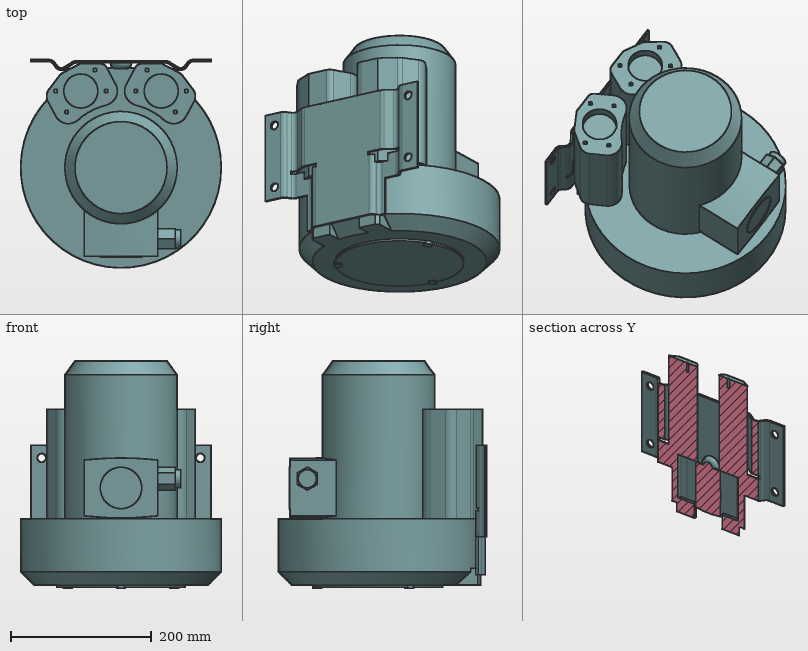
import cadquery as cq
import math


housing_radius = 142.85
housing_height = 94.0
housing_chamfer = 19.0
motor_radius = 80.0
motor_top = 319.0
motor_cap_height = 20.0
motor_cap_top_radius = 65.5

cover_radius = 91.5
cover_thickness = 3.2
cover_screw_circle_radius = 87.5
cover_screw_diameter = 12.5
cover_screw_drop = 4.9
cover_screw_angles = (30, 150, 270)

port_center_x = -57.2
port_center_y = 109.0
port_top = 250.4
port_bore_diameter = 48.5
port_bore_depth = 15.0
port_screw_diameter = 5.2
port_screw_depth = 15.0
port_screw_circle_radius = 36.0
port_screw_angles = (0, 56, 180, 236)
port_corner_center_radius = 32.0
port_corner_radius = 20.0
port_back_corner_radius = 10.0
port_outer_corner_radius = 15.0
port_shoulder_radius = 16.0
port_back_y = 148.0
port_motor_gap_radius = 91.3
port_side_flat_angle = 143.0
port_side_flat_distance = 148.9

box_width = 105.0
box_front_y = -126.3
box_center_z = 138.2
box_side_height = 79.4
box_middle_height = 85.4
box_lid_diameter = 59.0
box_lid_rise = 1.1
gland_y = -101.5
gland_z = 151.4
gland_hex_flats = 28.2
gland_hex_length = 24.5
gland_tip_diameter = 26.0
gland_tip_length = 8.0

sheet = 3.0
inner_bend_radius = 7.0
bracket_half_width = 128.4
bracket_bottom = 69.0
bracket_top = 199.0
bracket_plate_bottom = 14.4
slit_bottom = 105.4
slit_top = 109.7
slit_inner_x = 44.0
slit_outer_x = 91.0
wing_y = 152.4
plate_y = 150.4
valley_y = 140.1
wing_bend_x = 98.5
valley_bend_x = 89.0
upper_valley_depth = 2.7
upper_plate_bend_x = 66.5
lower_valley_bend_x = 56.0
lower_plate_bend_x = 50.0
flange_half_width = 65.6
wing_hole_diameter = 12.03
wing_hole_x = 113.0
wing_hole_inset = 18.0

buffer_z = 92.0
buffer_front_y = 140.8
buffer_radius = 15.0
buffer_front_rounding = 7.5

lug_height = 24.0
lug_outer_x = 57.0
lug_inner_x = 25.0
lug_side_y = 140.8
lug_back_y = 145.3


def cylinder_z(radius, bottom, top):
    return cq.Workplane("XY").workplane(offset=bottom).circle(radius).extrude(top - bottom)


def polar(radius, degrees):
    angle = math.radians(degrees)
    return radius * math.cos(angle), radius * math.sin(angle)


def make_housing():
    body = cylinder_z(housing_radius, 0, housing_height)
    return body.faces("<Z").chamfer(housing_chamfer)


def make_motor():
    cap_radius_drop = motor_radius - motor_cap_top_radius
    motor = cylinder_z(motor_radius, 0, motor_top)
    return motor.faces(">Z").chamfer(motor_cap_height, cap_radius_drop)


def make_bottom_cover():
    cover = cylinder_z(cover_radius, -cover_thickness, 0)
    for angle in cover_screw_angles:
        x, y = polar(cover_screw_circle_radius, angle)
        screw = cylinder_z(cover_screw_diameter / 2, -cover_screw_drop, 0).translate((x, y, 0))
        cover = cover.union(screw)
    return cover


def around_port(radius):
    """Four points at the port screw angles, at a given distance from the port axis."""
    offsets = [polar(radius, angle) for angle in port_screw_angles]
    return [(port_center_x + x, port_center_y + y) for x, y in offsets]


def fillet_upright_edge(body, point, radius):
    edge = body.edges("|Z").edges(cq.selectors.NearestToPointSelector(point))
    return edge.fillet(radius)


def half_space(start, angle):
    """Large block beyond a plane at a distance from the Z axis, facing the given angle."""
    size = 4 * housing_radius
    block = cq.Workplane("XY").box(size, size, 2 * motor_top, centered=(False, True, True))
    return block.translate((start, 0, 0)).rotate((0, 0, 0), (0, 0, 1), angle)


def make_left_port():
    corners = around_port(port_corner_center_radius)
    right_corner, back_corner, outer_corner, front_corner = corners
    outline = cq.Workplane("XY").workplane(offset=housing_height).polyline(corners).close()
    outline = outline.offset2D(port_corner_radius, "intersection")
    port = outline.extrude(port_top - housing_height)

    port = port.cut(half_space(port_back_y, 90))
    port = port.cut(half_space(port_side_flat_distance, port_side_flat_angle))
    middle_z = (housing_height + port_top) / 2
    rounded_edges = [
        (right_corner, port_corner_radius),
        (front_corner, port_corner_radius),
        ((back_corner[0] + port_corner_radius, port_back_y), port_back_corner_radius),
        ((outer_corner[0], back_corner[1]), port_shoulder_radius),
        ((outer_corner[0] - port_corner_radius, outer_corner[1]), port_outer_corner_radius),
    ]
    for (x, y), radius in rounded_edges:
        port = fillet_upright_edge(port, (x, y, middle_z), radius)

    return port.cut(cylinder_z(port_motor_gap_radius, 0, port_top))


def cut_port_holes(port):
    bore = cylinder_z(port_bore_diameter / 2, port_top - port_bore_depth, port_top)
    port = port.cut(bore.translate((port_center_x, port_center_y, 0)))
    for x, y in around_port(port_screw_circle_radius):
        screw_hole = cylinder_z(port_screw_diameter / 2, port_top - port_screw_depth, port_top)
        port = port.cut(screw_hole.translate((x, y, 0)))
    return port


def make_terminal_box():
    half_width = box_width / 2
    side = box_side_height / 2
    middle = box_middle_height / 2
    profile = (
        cq.Workplane("XZ")
        .moveTo(-half_width, -side)
        .threePointArc((0, -middle), (half_width, -side))
        .lineTo(half_width, side)
        .threePointArc((0, middle), (-half_width, side))
        .close()
    )
    box = profile.extrude(-box_front_y)
    lid = cq.Workplane("XZ").circle(box_lid_diameter / 2).extrude(-box_front_y + box_lid_rise)
    return box.union(lid).translate((0, 0, box_center_z))


def make_cable_gland():
    """Hexagonal gland with corners up and down, then a round tip, along +X."""
    across_corners = gland_hex_flats / math.cos(math.radians(30))
    hexagon = cq.Workplane("YZ").transformed(rotate=(0, 0, 90)).polygon(6, across_corners)
    gland = hexagon.extrude(gland_hex_length)
    gland = gland.faces(">X").workplane().circle(gland_tip_diameter / 2).extrude(gland_tip_length)
    return gland.translate((box_width / 2, gland_y, gland_z))


def bend_directions(points):
    """Direction of the path before and after each of its points."""
    slopes = [
        math.atan2(end[1] - start[1], end[0] - start[0])
        for start, end in zip(points, points[1:])
    ]
    return list(zip(slopes[:1] + slopes, slopes + slopes[-1:]))


def offset_path(points, distance):
    """Path moved to its left by a distance, kept parallel to every segment."""
    moved = []
    for (x, y), (before, after) in zip(points, bend_directions(points)):
        direction = (before + after) / 2
        reach = distance / math.cos((after - before) / 2)
        moved.append((x - reach * math.sin(direction), y + reach * math.cos(direction)))
    return moved


def bent_sheet(left_half, bottom, top):
    """Sheet along a mirrored centre line, with concentric radii on both sides of every bend."""
    path = left_half + [(-x, y) for x, y in reversed(left_half)]
    left_side = offset_path(path, sheet / 2)
    right_side = offset_path(path, -sheet / 2)
    outline = left_side + right_side[::-1]
    body = cq.Workplane("XY").workplane(offset=bottom).polyline(outline).close()
    body = body.extrude(top - bottom)

    middle = (bottom + top) / 2
    outer_bend_radius = inner_bend_radius + sheet
    bends = list(zip(left_side, right_side, bend_directions(path)))[1:-1]
    for left, right, (before, after) in bends:
        inner, outer = (left, right) if after > before else (right, left)
        body = fillet_upright_edge(body, (*inner, middle), inner_bend_radius)
        body = fillet_upright_edge(body, (*outer, middle), outer_bend_radius)
    return body


def make_bracket():
    wing = [(-bracket_half_width, wing_y), (-wing_bend_x, wing_y)]
    wing_run = (wing_bend_x - valley_bend_x) / (wing_y - valley_y)
    upper_valley = (-valley_bend_x + wing_run * upper_valley_depth, valley_y - upper_valley_depth)
    upper = wing + [upper_valley, (-upper_plate_bend_x, plate_y)]
    wing_to_flange = wing + [(-valley_bend_x, valley_y)]
    hat = [(-lower_valley_bend_x, valley_y), (-lower_plate_bend_x, plate_y)]
    flange = [(-flange_half_width, valley_y)]

    bracket = bent_sheet(upper, slit_bottom, bracket_top)
    slit = cq.Workplane("XY").box(
        slit_outer_x - slit_inner_x, 2 * wing_y, slit_top - slit_bottom, centered=(False, True, False)
    )
    for slit_start_x in (-slit_outer_x, slit_inner_x):
        bracket = bracket.cut(slit.translate((slit_start_x, wing_y, slit_bottom)))
    bracket = bracket.union(bent_sheet(wing_to_flange + hat, bracket_bottom, slit_bottom))
    bracket = bracket.union(bent_sheet(flange + hat, bracket_plate_bottom, bracket_bottom))

    for x in (-wing_hole_x, wing_hole_x):
        for z in (bracket_bottom + wing_hole_inset, bracket_top - wing_hole_inset):
            hole = cq.Workplane("XZ").circle(wing_hole_diameter / 2).extrude(-2 * wing_y)
            bracket = bracket.cut(hole.translate((x, 0, z)))
    return bracket


def make_buffer():
    length = plate_y - buffer_front_y
    buffer = cq.Workplane("XZ").circle(buffer_radius).extrude(-length)
    buffer = buffer.faces("<Y").edges().fillet(buffer_front_rounding)
    return buffer.translate((0, buffer_front_y, buffer_z))


def make_left_lug():
    """Lug under the bracket flange, from the back edge into the housing."""
    bevel = lug_back_y - lug_side_y
    outline = [
        (-lug_outer_x, 0),
        (-lug_outer_x, lug_side_y),
        (-lug_outer_x + bevel, lug_back_y),
        (-lug_inner_x, lug_back_y),
        (-lug_inner_x, 0),
    ]
    return cq.Workplane("XY").polyline(outline).close().extrude(lug_height)


left_side = cut_port_holes(make_left_port()).union(make_left_lug())
right_side = left_side.mirror("YZ")

result = (
    make_housing()
    .union(make_motor())
    .union(make_bottom_cover())
    .union(left_side)
    .union(right_side)
    .union(make_bracket())
    .union(make_buffer())
    .union(make_terminal_box())
    .union(make_cable_gland())
)